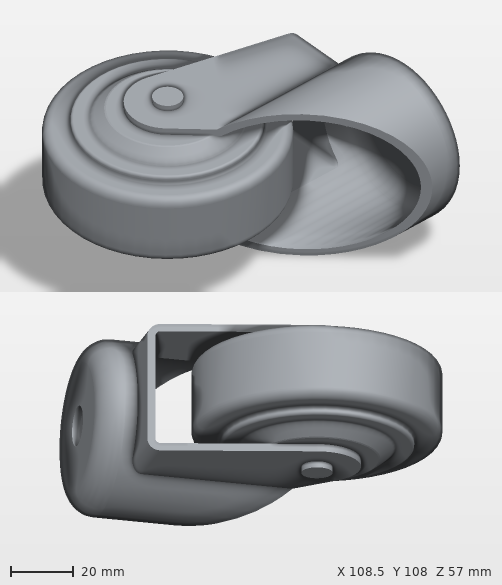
import cadquery as cq
import math


length_x = 108.5
length_y = 108.0

tread_radius = 80.0 / 2
tread_half_width = 12.5
tread_fillet = 3.0
rim_radius = 62.0 / 2
rim_half_width = 15.1
hub_base_radius = 25.1
hub_top_radius = 20.0
small_fillet = 1.0
tolerance = 0.01

pin_diameter = 10.0
pin_half_length = 23.5

wall = 2.5
cup_radius = 57.0 / 2
cup_offset = length_x - tread_radius - cup_radius
cup_top = length_y - tread_radius
cup_fillet = 8.0
cup_side_height = 2 * cup_fillet
bolt_hole_diameter = 13.0

fork_half_width = 21.5
fork_top = 56.0
fork_end_radius = 14.0
fork_bend_radius = 4.0
hub_half_width = fork_half_width - wall


def tangent_point(x, y, side):
    """Where a line from (x, y) touches the fork end circle; side picks one of the two tangents."""
    angle = math.atan2(y, x) + side * math.acos(fork_end_radius / math.hypot(x, y))
    return fork_end_radius * math.cos(angle), fork_end_radius * math.sin(angle)


def disc(radius, half_width):
    """Cylinder on the axle, centred on the wheel."""
    return cq.Workplane("XY", origin=(0, 0, -half_width)).circle(radius).extrude(2 * half_width)


def make_wheel():
    tread = disc(tread_radius, tread_half_width).faces("|Z").edges().fillet(tread_fillet)

    half_section = (
        cq.Workplane("XZ")
        .lineTo(rim_radius + small_fillet, 0)
        .lineTo(rim_radius + small_fillet, tread_half_width)
        .radiusArc((rim_radius, tread_half_width + small_fillet), small_fillet)
        .lineTo(rim_radius, rim_half_width)
        .lineTo(hub_base_radius, rim_half_width)
        .lineTo(hub_top_radius, hub_half_width)
        .lineTo(0, hub_half_width)
        .close()
    )
    core = half_section.revolve(360, (0, 0, 0), (0, 1, 0))
    core = core.faces(">Z").edges().fillet(small_fillet)
    rim_edges = core.edges("%CIRCLE").filter(lambda edge: abs(edge.Center().z - rim_half_width) < tolerance)
    core = core.newObject(rim_edges.vals()).fillet(small_fillet)
    return tread.union(core).union(core.mirror("XY"))


def cup_body(radius, top, fillet):
    """Round-topped cylinder on the swivel axis, reaching below the fork end."""
    return (
        cq.Workplane("XZ", origin=(cup_offset, -fork_end_radius, 0))
        .circle(radius)
        .extrude(-(top + fork_end_radius))
        .faces(">Y")
        .edges()
        .fillet(fillet)
    )


def channel_body(half_width, top, bend_radius):
    """Block from behind the wheel axis to the swivel axis, with its two upper edges rounded."""
    length = cup_offset + fork_end_radius
    height = top + fork_end_radius
    return (
        cq.Workplane("XY")
        .box(length, height, 2 * half_width, centered=(False, False, True))
        .translate((-fork_end_radius, -fork_end_radius, 0))
        .edges("|X and >Y")
        .fillet(bend_radius)
    )


def make_housing():
    outer = cup_body(cup_radius, cup_top, cup_fillet).union(
        channel_body(fork_half_width, fork_top, fork_bend_radius)
    )
    housing = outer.cut(cup_body(cup_radius - wall, cup_top - wall, cup_fillet - wall))
    housing = housing.cut(channel_body(hub_half_width, fork_top - wall, fork_bend_radius - wall))

    cup_right = cup_offset + cup_radius
    cup_side_bottom = cup_top - cup_side_height
    outline = (
        cq.Workplane("XY")
        .moveTo(0, cup_top)
        .lineTo(0, fork_top)
        .lineTo(*tangent_point(0, fork_top, 1))
        .threePointArc((0, -fork_end_radius), tangent_point(cup_right, cup_side_bottom, -1))
        .lineTo(cup_right, cup_side_bottom)
        .lineTo(cup_right, cup_top)
        .close()
        .extrude(cup_radius, both=True)
    )
    bolt_hole = (
        cq.Workplane("XZ", origin=(cup_offset, fork_top, 0))
        .circle(bolt_hole_diameter / 2)
        .extrude(-cup_top)
    )
    return housing.intersect(outline).cut(bolt_hole)


pin = disc(pin_diameter / 2, pin_half_length)
result = make_housing().union(make_wheel()).union(pin)